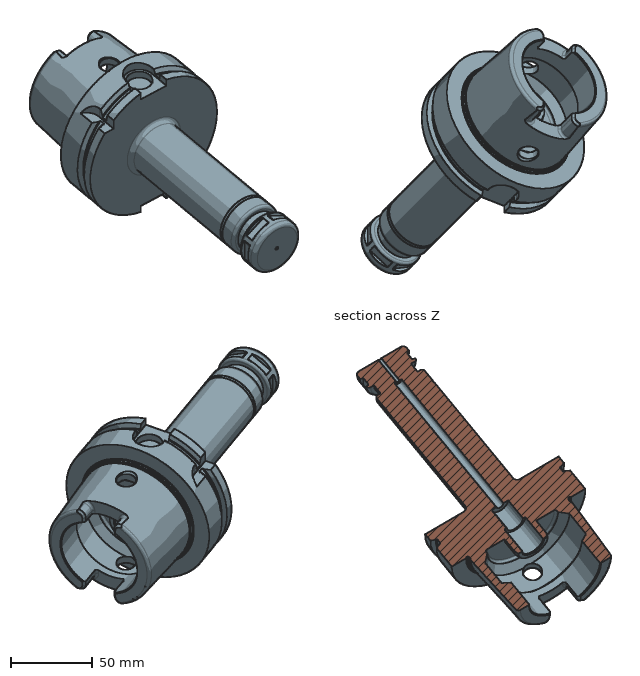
import cadquery as cq
import math

total_length = 200.0

taper_end_radius = 35.5
taper_half_slope = 0.05
taper_end_round = 2.0
taper_length = 47.2
taper_max_radius = taper_end_radius + taper_half_slope * taper_length

relief_radius = 37.2
relief_start = 48.5
relief_end = 49.5
relief_depth = 0.5
relief_floor_radius = 38.5
relief_outer_radius = 39.5

flange_start = 50.0
flange_width = 29.0
flange_end = flange_start + flange_width
flange_radius = 50.0
groove_radius = 46.0
groove_start = 68.2
groove_end = 71.8
groove_chamfer_depth = 1.0
groove_left_flare = 1.8
groove_right_flare = 1.2
groove_flare_depth = flange_radius - groove_radius - groove_chamfer_depth

shaft_radius = 18.0
shaft_end = 179.2
shaft_end_round = 2.0
root_fillet = 3.0
ring_start = 166.8
ring_width = 2.0
ring_depth = 0.2
neck_radius = 14.0
nut_start = 186.0
nut_radius = 18.5
nut_left_round = 1.8
nut_right_round = 2.8

pocket_count = 6
pocket_start = 188.5
pocket_length = 5.5
pocket_wall_angle = 17.0
pocket_width = 15.0
pocket_flat_distance = 16.5

bore_radius = 26.5
bore_chamfer = 0.5
bore_lip_length = 20.0
recess_radius = 31.5
recess_cone_angle = 60.0
recess_end = 40.5
recess_end_angle = 45.0
recess_floor = 48.0
floor_fillet = 1.5

hub_radius = 12.0
hub_front = 34.5
hub_cone_length = 3.0
hub_cone_depth = 1.0
passage_steps = [(15.5, 54.0), (12.0, 70.0), (5.0, 180.0), (2.0, total_length)]
passage_chamfer = 0.5

key_half_width = 10.0
key_shelf = 32.2
key_flare_radius = 4.8
key_depth_top = 10.0
key_depth_bottom = 15.0
key_floor_fillet = 1.5
key_edge_chamfer = 1.5

cross_hole_x = 35.2
cross_hole_diameter = 12.0
cross_hole_mouth_diameter = 14.0

slot_width = 20.0
slot_center_x = 64.8
slot_floor = 44.0
chip_hole_diameter = 16.5
chip_hole_depth = 5.0
notch_floor = 31.8
notch_wall = 31.5


def taper_radius(x):
    return taper_end_radius + taper_half_slope * x


def turned_body():
    """Solid of revolution for the complete outside."""
    half_outline = (
        cq.Workplane("XY")
        .lineTo(0, taper_radius(taper_end_round) - taper_end_round)
        .radiusArc((taper_end_round, taper_radius(taper_end_round)), taper_end_round)
        .lineTo(taper_length, taper_max_radius)
        .lineTo(relief_start, relief_radius)
        .lineTo(relief_end, relief_radius)
        .lineTo(flange_start + relief_depth, taper_max_radius)
        .lineTo(flange_start + relief_depth, relief_floor_radius)
        .lineTo(flange_start, relief_outer_radius)
        .lineTo(flange_start, flange_radius)
        .lineTo(groove_start - groove_left_flare, flange_radius)
        .lineTo(groove_start, flange_radius - groove_flare_depth)
        .lineTo(groove_start, groove_radius)
        .lineTo(groove_end, groove_radius)
        .lineTo(groove_end, flange_radius - groove_flare_depth)
        .lineTo(groove_end + groove_right_flare, flange_radius)
        .lineTo(flange_end, flange_radius)
        .lineTo(flange_end, shaft_radius + root_fillet)
        .radiusArc((flange_end + root_fillet, shaft_radius), -root_fillet)
        .lineTo(ring_start, shaft_radius)
        .lineTo(ring_start, shaft_radius - ring_depth)
        .lineTo(ring_start + ring_width, shaft_radius - ring_depth)
        .lineTo(ring_start + ring_width, shaft_radius)
        .lineTo(shaft_end - shaft_end_round, shaft_radius)
        .radiusArc((shaft_end, shaft_radius - shaft_end_round), shaft_end_round)
        .lineTo(shaft_end, neck_radius)
        .lineTo(nut_start, neck_radius)
        .lineTo(nut_start, nut_radius - nut_left_round)
        .radiusArc((nut_start + nut_left_round, nut_radius), nut_left_round)
        .lineTo(total_length - nut_right_round, nut_radius)
        .radiusArc((total_length, nut_radius - nut_right_round), nut_right_round)
        .lineTo(total_length, 0)
        .close()
    )
    return half_outline.revolve(360, (0, 0, 0), (1, 0, 0))


def taper_hollow():
    """Ring-shaped space between the taper wall and the central hub."""
    recess_step = recess_radius - bore_radius
    recess_cone_length = recess_step / math.tan(math.radians(recess_cone_angle))
    recess_end_length = recess_step / math.tan(math.radians(recess_end_angle))
    half_outline = (
        cq.Workplane("XY")
        .lineTo(0, bore_radius + bore_chamfer)
        .lineTo(bore_chamfer, bore_radius)
        .lineTo(bore_lip_length, bore_radius)
        .lineTo(bore_lip_length + recess_cone_length, recess_radius)
        .lineTo(recess_end, recess_radius)
        .lineTo(recess_end + recess_end_length, bore_radius)
        .lineTo(recess_floor - floor_fillet, bore_radius)
        .radiusArc((recess_floor, bore_radius - floor_fillet), floor_fillet)
        .lineTo(recess_floor, hub_radius)
        .lineTo(hub_front + hub_cone_length, hub_radius)
        .lineTo(hub_front, hub_radius - hub_cone_depth)
        .lineTo(hub_front, 0)
        .close()
    )
    return half_outline.revolve(360, (0, 0, 0), (1, 0, 0))


def coolant_passage():
    """Stepped bore on the axis, from the hub face to the nut face."""
    mouth_radius = passage_steps[0][0] / 2 + passage_chamfer
    half_outline = cq.Workplane("XY").moveTo(hub_front, 0).lineTo(hub_front, mouth_radius)
    start = hub_front + passage_chamfer
    for diameter, end in passage_steps:
        half_outline = half_outline.lineTo(start, diameter / 2).lineTo(end, diameter / 2)
        start = end
    return half_outline.lineTo(total_length, 0).close().revolve(360, (0, 0, 0), (1, 0, 0))


def drive_key(depth):
    """Upward keyway cutter whose flanks flare out to a shelf near the taper surface."""
    flare_start = key_shelf - key_flare_radius
    shelf_half_width = key_half_width + key_flare_radius
    outer = flange_radius

    def outline(offset):
        return (
            cq.Workplane("YZ")
            .moveTo(-key_half_width - offset, 0)
            .lineTo(-key_half_width - offset, flare_start)
            .radiusArc((-shelf_half_width, key_shelf - offset), -(key_flare_radius - offset))
            .lineTo(-outer, key_shelf - offset)
            .lineTo(-outer, outer)
            .lineTo(outer, outer)
            .lineTo(outer, key_shelf - offset)
            .lineTo(shelf_half_width, key_shelf - offset)
            .radiusArc((key_half_width + offset, flare_start), -(key_flare_radius - offset))
            .lineTo(key_half_width + offset, 0)
            .close()
        )

    cutter = outline(0).extrude(depth).faces(">X").edges().fillet(key_floor_fillet)
    edge_break = outline(key_edge_chamfer).extrude(key_edge_chamfer, taper=45)
    return cutter.union(edge_break)


def cross_hole():
    """Radial hole through one taper wall, countersunk at its mouth."""
    surface = taper_radius(cross_hole_x)
    countersink = (cross_hole_mouth_diameter - cross_hole_diameter) / 2
    wall_thickness = surface - hub_radius
    hole = (
        cq.Workplane("XY", origin=(0, 0, hub_radius + wall_thickness / 2))
        .circle(cross_hole_diameter / 2)
        .extrude(wall_thickness)
    )
    mouth = (
        cq.Workplane("XY", origin=(0, 0, surface - countersink))
        .circle(cross_hole_diameter / 2)
        .extrude(2 * countersink, taper=-45)
    )
    return hole.union(mouth).translate((cross_hole_x, 0, 0))


def flange_slot(center_y, floor_z):
    """Round-ended slot cutter that runs out through the shaft side of the flange."""
    height = flange_radius - floor_z + 2
    run_out = flange_end - slot_center_x
    base = cq.Workplane("XY", origin=(slot_center_x, center_y, floor_z))
    round_end = base.circle(slot_width / 2).extrude(height)
    straight = base.center(run_out / 2, 0).rect(run_out, slot_width).extrude(height)
    return round_end.union(straight)


def nut_pocket():
    """Flat-bottomed wrench pocket on the -Y side of the nut, with end walls leaning outwards."""
    pocket_end = pocket_start + pocket_length
    cutter_height = 2 * (nut_radius - pocket_flat_distance)
    wall_lean = cutter_height * math.tan(math.radians(pocket_wall_angle))
    outer_y = -pocket_flat_distance - cutter_height
    return (
        cq.Workplane("XY")
        .moveTo(pocket_start, -pocket_flat_distance)
        .lineTo(pocket_end, -pocket_flat_distance)
        .lineTo(pocket_end + wall_lean, outer_y)
        .lineTo(pocket_start - wall_lean, outer_y)
        .close()
        .extrude(pocket_width / 2, both=True)
    )


def upside_down(shape):
    return shape.rotate((0, 0, 0), (1, 0, 0), 180)


body = turned_body().cut(taper_hollow()).cut(coolant_passage())

body = body.cut(drive_key(key_depth_top)).cut(upside_down(drive_key(key_depth_bottom)))
wall_hole = cross_hole()
body = body.cut(wall_hole).cut(upside_down(wall_hole))

rim_slot = flange_slot(0, slot_floor)
body = body.cut(rim_slot).cut(upside_down(rim_slot))
chip_hole = (
    cq.Workplane("XY", origin=(slot_center_x, 0, slot_floor - chip_hole_depth))
    .circle(chip_hole_diameter / 2)
    .extrude(chip_hole_depth)
)
body = body.cut(chip_hole)
body = body.cut(flange_slot(-notch_wall - slot_width / 2, notch_floor))

for index in range(pocket_count):
    body = body.cut(nut_pocket().rotate((0, 0, 0), (1, 0, 0), index * 360 / pocket_count))

result = body